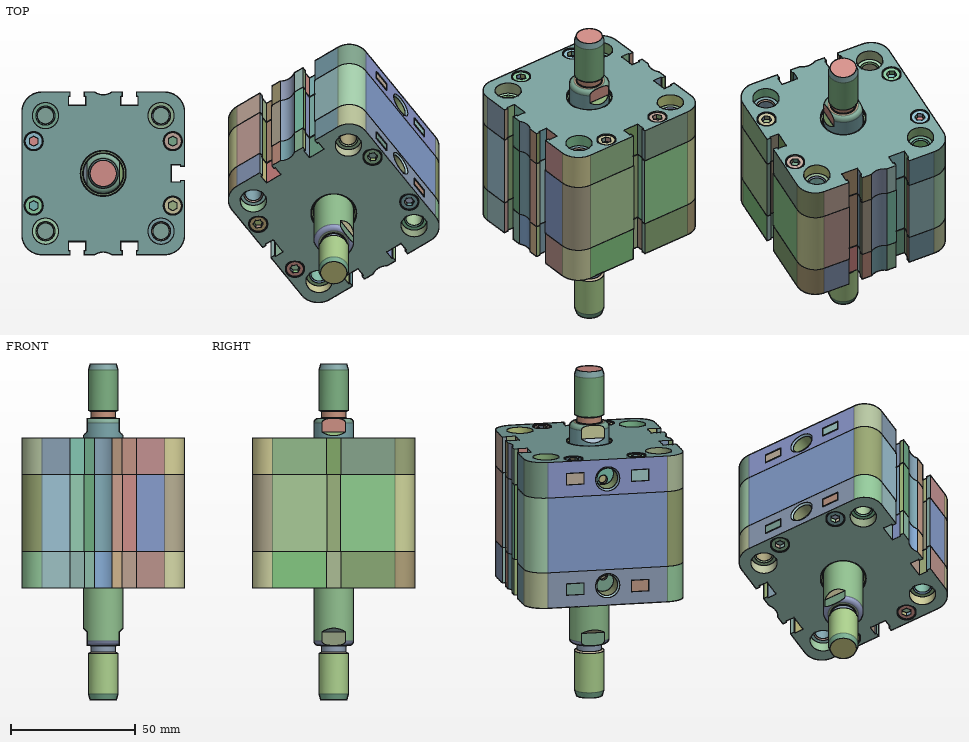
import cadquery as cq
import math


body_width = 65.5
corner_radius = 8.1
cap_height = 14.7
barrel_height = 30.9
body_top = 37.8
body_half = body_width / 2
barrel_top = body_top - cap_height
barrel_bottom = barrel_top - barrel_height
body_bottom = barrel_bottom - cap_height

slot_offset = 10.5
slot_lip = 1.8
cap_slot_opening = 5.8
cap_slot_width = 7.0
cap_slot_depth = 5.5
barrel_clearance = 0.3
barrel_slot_opening = cap_slot_opening - barrel_clearance
barrel_slot_width = cap_slot_width - barrel_clearance
barrel_slot_depth = cap_slot_depth - barrel_clearance

groove_width = 6.9
groove_depth = 1.1

mount_offset = 23.2
mount_bore_diameter = 10.5
mount_bore_depth = 5.0
mount_sink_diameter = 7.7
mount_hole_diameter = 6.6
mount_sink_depth = (mount_sink_diameter - mount_hole_diameter) / 2

screw_x = 28.0
screw_y = 13.0
screw_head_diameter = 7.7
screw_recess_depth = 0.7
screw_face_depth = 0.3
screw_edge_chamfer = screw_recess_depth - screw_face_depth
socket_flats = 3.5
socket_diameter = socket_flats / math.cos(math.pi / 6)
socket_depth = 2.0

port_from_face = 8.1
port_mouth_diameter = 10.0
port_diameter = 8.5
port_depth = 8.1
port_sink_depth = (port_mouth_diameter - port_diameter) / 2
passage_diameter = 3.5
passage_from_face = 10.3
passage_depth = 2.0

label_offset = 13.4
label_width = 7.2
label_height = 4.7
label_depth = 0.3

rod_half_length = 67.5
rod_diameter = 16.0
rod_gap_diameter = 16.6
rod_gap_depth = 2.0
rod_mouth_diameter = 18.0
rod_mouth_depth = 1.4
rod_mouth_sink_diameter = 18.5
rod_mouth_sink_depth = (rod_mouth_sink_diameter - rod_mouth_diameter) / 2
thread_diameter = 12.0
undercut_diameter = 10.0
undercut_end_chamfer = 0.3
thread_tip_diameter = 10.5
thread_chamfer_length = 2.4
thread_end_chamfer = 0.5
thread_length = 19.2
shoulder_from_end = 21.9
shoulder_radius = 1.9
wrench_flats = 13.0
flats_from_end = 27.3


def body_block(bottom, height):
    """Square block with rounded vertical corners."""
    block = cq.Workplane("XY", origin=(0, 0, bottom)).rect(body_width, body_width).extrude(height)
    return block.edges("|Z").fillet(corner_radius)


def slot_cutter(bottom, height, opening, width, depth):
    """Stepped slot that opens at the +Y face, centred on X = 0."""
    base = cq.Workplane("XY", origin=(0, body_half, bottom))
    mouth = base.center(0, -depth / 2).rect(opening, depth).extrude(height)
    channel_depth = depth - slot_lip
    channel = base.center(0, -slot_lip - channel_depth / 2).rect(width, channel_depth).extrude(height)
    return mouth.union(channel)


def groove_cutter(bottom, height):
    """Round-bottomed groove in the +Y face."""
    return (
        cq.Workplane("XY", origin=(0, body_half, bottom))
        .moveTo(-groove_width / 2, 0)
        .threePointArc((0, -groove_depth), (groove_width / 2, 0))
        .close()
        .extrude(height)
    )


def slotted_block(bottom, height, opening, width, depth):
    """Body block with paired slots and a groove on both Y faces and one slot on the +X face."""
    slot = slot_cutter(bottom, height, opening, width, depth)
    groove = groove_cutter(bottom, height)
    block = body_block(bottom, height)
    for face_angle in (0, 180):
        for side in (-1, 1):
            paired_slot = slot.translate((side * slot_offset, 0, 0))
            block = block.cut(paired_slot.rotate((0, 0, 0), (0, 0, 1), face_angle))
        block = block.cut(groove.rotate((0, 0, 0), (0, 0, 1), face_angle))
    return block.cut(slot.rotate((0, 0, 0), (0, 0, 1), -90))


def cut_mount_holes(cap):
    """Counterbored, countersunk holes through the four corners, from the outer face at Z = 0."""
    corners = cq.Workplane("XY").rect(2 * mount_offset, 2 * mount_offset, forConstruction=True).vertices()
    holes = corners.circle(mount_hole_diameter / 2).extrude(-cap_height)
    bores = corners.circle(mount_bore_diameter / 2).extrude(-mount_bore_depth)
    sink = cq.Solid.makeCone(mount_sink_diameter / 2, mount_hole_diameter / 2, mount_sink_depth,
                             cq.Vector(0, 0, -mount_bore_depth), cq.Vector(0, 0, -1))
    sinks = corners.eachpoint(lambda place: sink.moved(place))
    return cap.cut(holes).cut(bores).cut(sinks)


def cut_screw_heads(cap):
    """Screw heads with chamfered edges and hexagon sockets, sunk in round recesses."""
    places = cq.Workplane("XY").rect(2 * screw_x, 2 * screw_y, forConstruction=True).vertices()
    head_radius = screw_head_diameter / 2
    head = cq.Solid.makeCone(head_radius, head_radius - screw_edge_chamfer, screw_edge_chamfer,
                             cq.Vector(0, 0, -screw_recess_depth))
    recess = cq.Workplane("XY").circle(head_radius).extrude(-screw_recess_depth).cut(head).val()
    recesses = places.eachpoint(lambda place: recess.moved(place))
    hexagon = (
        cq.Workplane("XY")
        .transformed(rotate=(0, 0, 90))
        .polygon(6, socket_diameter)
        .extrude(-screw_face_depth - socket_depth)
        .val()
    )
    sockets = places.eachpoint(lambda place: hexagon.moved(place))
    return cap.cut(recesses).cut(sockets)


def cut_port(cap):
    """Air port in the -X face, with an offset passage in its floor."""
    inward = cq.Vector(1, 0, 0)
    port_mouth = cq.Vector(-body_half, 0, -port_from_face)
    passage_mouth = cq.Vector(-body_half, 0, -passage_from_face)
    bore = cq.Solid.makeCylinder(port_diameter / 2, port_depth, port_mouth, inward)
    sink = cq.Solid.makeCone(port_mouth_diameter / 2, port_diameter / 2, port_sink_depth, port_mouth, inward)
    passage = cq.Solid.makeCylinder(passage_diameter / 2, port_depth + passage_depth, passage_mouth, inward)
    return cap.cut(bore).cut(sink).cut(passage)


def cut_labels(cap):
    """Shallow rectangular recesses on both sides of the port."""
    for side in (-1, 1):
        recess = cq.Workplane("XY").box(2 * label_depth, label_width, label_height)
        cap = cap.cut(recess.translate((-body_half, side * label_offset, -cap_height / 2)))
    return cap


def cut_rod_opening(cap):
    """Bore that guides the rod, widened in steps towards a countersunk mouth."""
    bore = cq.Workplane("XY").circle(rod_diameter / 2).extrude(-cap_height)
    mouth = cq.Workplane("XY").circle(rod_mouth_diameter / 2).extrude(-rod_mouth_depth)
    gap = cq.Workplane("XY").circle(rod_gap_diameter / 2).extrude(-rod_gap_depth)
    sink = cq.Solid.makeCone(rod_mouth_sink_diameter / 2, rod_mouth_diameter / 2, rod_mouth_sink_depth,
                             cq.Vector(0, 0, 0), cq.Vector(0, 0, -1))
    return cap.cut(bore).cut(gap).cut(mouth).cut(sink)


def make_end_cap():
    """End cap with its outer face at Z = 0 and its joint face below."""
    cap = slotted_block(-cap_height, cap_height, cap_slot_opening, cap_slot_width, cap_slot_depth)
    cap = cut_mount_holes(cap)
    cap = cut_screw_heads(cap)
    cap = cut_port(cap)
    cap = cut_labels(cap)
    return cut_rod_opening(cap)


def make_barrel():
    """Barrel with a bore for the rod."""
    barrel = slotted_block(barrel_bottom, barrel_height,
                           barrel_slot_opening, barrel_slot_width, barrel_slot_depth)
    rod_bore = cq.Workplane("XY", origin=(0, 0, barrel_bottom)).circle(rod_diameter / 2).extrude(barrel_height)
    return barrel.cut(rod_bore)


def make_rod_half():
    """Upper half of the rod, from Z = 0 to the threaded end."""
    rod_radius = rod_diameter / 2
    thread_radius = thread_diameter / 2
    undercut_radius = undercut_diameter / 2
    shoulder_z = rod_half_length - shoulder_from_end
    thread_bottom = rod_half_length - thread_length
    half_rod = (
        cq.Workplane("XZ")
        .lineTo(rod_radius, 0)
        .lineTo(rod_radius, shoulder_z - shoulder_radius)
        .radiusArc((rod_radius - shoulder_radius, shoulder_z), -shoulder_radius)
        .lineTo(undercut_radius + undercut_end_chamfer, shoulder_z)
        .lineTo(undercut_radius, shoulder_z + undercut_end_chamfer)
        .lineTo(undercut_radius, thread_bottom)
        .lineTo(thread_radius, thread_bottom + thread_end_chamfer)
        .lineTo(thread_radius, rod_half_length - thread_chamfer_length)
        .lineTo(thread_tip_diameter / 2, rod_half_length)
        .lineTo(0, rod_half_length)
        .close()
        .revolve(360, (0, 0, 0), (0, 1, 0))
    )
    return cut_wrench_flats(half_rod, shoulder_z)


def cut_wrench_flats(half_rod, shoulder_z):
    """Two flats facing -X and +X that run out on 45 degree slopes."""
    flat_x = wrench_flats / 2
    flat_bottom = rod_half_length - flats_from_end
    runout = rod_diameter / 2 - flat_x
    cutter = (
        cq.Workplane("XZ")
        .moveTo(flat_x, shoulder_z)
        .lineTo(flat_x, flat_bottom)
        .lineTo(flat_x + runout, flat_bottom - runout)
        .lineTo(flat_x + runout, shoulder_z)
        .close()
        .extrude(rod_diameter / 2, both=True)
    )
    return half_rod.cut(cutter).cut(cutter.mirror("YZ"))


def make_piston_rod():
    """Rod with the same threaded end at the top and at the bottom."""
    half_rod = make_rod_half()
    return half_rod.union(half_rod.mirror("XY"))


end_cap = make_end_cap()
top_cap = end_cap.translate((0, 0, body_top))
bottom_cap = end_cap.rotate((0, 0, 0), (1, 0, 0), 180).translate((0, 0, body_bottom))
barrel = make_barrel()
piston_rod = make_piston_rod()

result = cq.Compound.makeCompound([top_cap.val(), barrel.val(), bottom_cap.val(), piston_rod.val()])